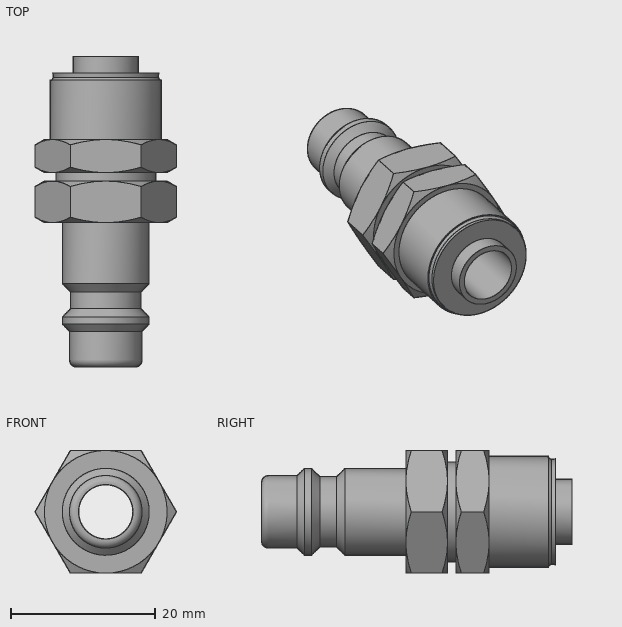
import cadquery as cq
import math

total_length = 43.0
tip_radius = 5.05
tip_round = 1.0
ring_front = 4.95
shank_radius = 6.0
ring_land_start = 5.98
ring_land_end = 6.92
groove_start = 8.1
groove_end = 10.4
groove_radius = 4.9
shank_start = 11.55
collar_radius = 6.92
sleeve_radius = 7.7
sleeve_end = 39.75
lip_base_radius = 7.52
lip_neck = 40.1
lip_neck_radius = 7.25
lip_end = 40.7
lip_radius = 7.35
stub_radius = 4.5
bore_radius = 3.75

across_flats = 17.0
front_hex_start = 20.0
front_hex_end = 25.75
rear_hex_start = 26.9
rear_hex_end = 31.5
hex_chamfer_angle = math.radians(30)


def turned(profile):
    """Revolve a half profile drawn as (radius, Y) around the Y axis."""
    return profile.close().revolve(360, (0, 0, 0), (0, 1, 0))


def hexagon(start, end):
    """Hexagon between two Y stations, corners cut by a cone at each end."""
    flat_radius = across_flats / 2
    corner_radius = flat_radius / math.cos(math.radians(30))
    chamfer_depth = (corner_radius - flat_radius) * math.tan(hex_chamfer_angle)
    prism = (
        cq.Workplane("XZ", origin=(0, start, 0))
        .polygon(6, 2 * corner_radius)
        .extrude(start - end)
    )
    envelope = turned(
        cq.Workplane("XY")
        .moveTo(0, start)
        .lineTo(flat_radius, start)
        .lineTo(corner_radius, start + chamfer_depth)
        .lineTo(corner_radius, end - chamfer_depth)
        .lineTo(flat_radius, end)
        .lineTo(0, end)
    )
    return prism.intersect(envelope)


def body():
    """Plug with rounded tip and locking ring, collar, sleeve and rear stub."""
    return turned(
        cq.Workplane("XY")
        .lineTo(tip_radius - tip_round, 0)
        .radiusArc((tip_radius, tip_round), -tip_round)
        .lineTo(tip_radius, ring_front)
        .lineTo(shank_radius, ring_land_start)
        .lineTo(shank_radius, ring_land_end)
        .lineTo(groove_radius, groove_start)
        .lineTo(groove_radius, groove_end)
        .lineTo(shank_radius, shank_start)
        .lineTo(shank_radius, front_hex_start)
        .lineTo(collar_radius, front_hex_start)
        .lineTo(collar_radius, rear_hex_end)
        .lineTo(sleeve_radius, rear_hex_end)
        .lineTo(sleeve_radius, sleeve_end)
        .lineTo(lip_base_radius, sleeve_end)
        .lineTo(lip_neck_radius, lip_neck)
        .lineTo(lip_radius, lip_end)
        .lineTo(stub_radius, lip_end)
        .lineTo(stub_radius, total_length)
        .lineTo(0, total_length)
    )


bore = cq.Workplane("XZ").circle(bore_radius).extrude(-total_length)

result = (
    body()
    .union(hexagon(front_hex_start, front_hex_end))
    .union(hexagon(rear_hex_start, rear_hex_end))
    .cut(bore)
)